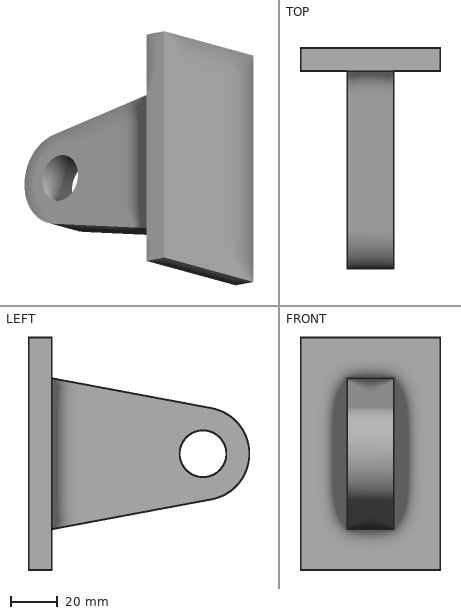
import cadquery as cq
import math

plate_width = 60.0
plate_thickness = 10.0
plate_height = 100.0

lug_thickness = 20.0
lug_root_height = 65.0
eye_distance = 65.0
eye_radius = 20.0
hole_diameter = 20.0


def make_plate():
    return cq.Workplane("XY").box(
        plate_width, plate_thickness, plate_height, centered=(True, False, True)
    )


def make_lug():
    """Lug whose sloping flanks run tangent into the round eye."""
    root_half = lug_root_height / 2
    root_to_eye = math.hypot(eye_distance, root_half)
    taper_angle = math.atan2(root_half, eye_distance) - math.asin(eye_radius / root_to_eye)

    tangent_y = -eye_distance - eye_radius * math.sin(taper_angle)
    tangent_z = eye_radius * math.cos(taper_angle)
    tip_y = -eye_distance - eye_radius

    return (
        cq.Workplane("YZ", origin=(-lug_thickness / 2, 0, 0))
        .moveTo(0, -root_half)
        .lineTo(tangent_y, -tangent_z)
        .threePointArc((tip_y, 0), (tangent_y, tangent_z))
        .lineTo(0, root_half)
        .close()
        .extrude(lug_thickness)
    )


def make_hole():
    return (
        cq.Workplane("YZ", origin=(-lug_thickness / 2, 0, 0))
        .center(-eye_distance, 0)
        .circle(hole_diameter / 2)
        .extrude(lug_thickness)
    )


result = make_plate().union(make_lug()).cut(make_hole())